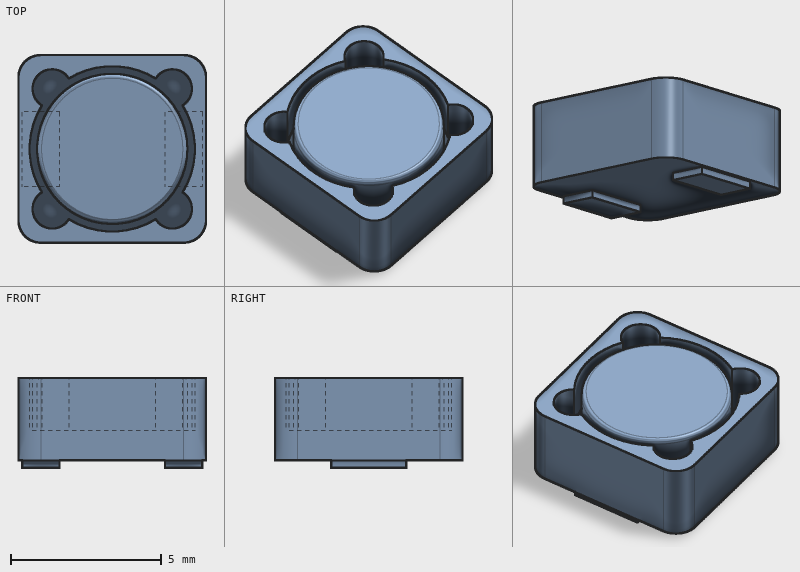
import cadquery as cq

body_side = 6.25
total_height = 3.0
corner_radius = 0.75

pad_length_x = 1.25
pad_width_y = 2.5
pad_height = 0.25
pad_edge_inset = 0.125

core_diameter = 5.0
core_edge_fillet = 0.15
ring_gap = 0.25
recess_diameter = core_diameter + 2 * ring_gap

relief_diameter = 1.3
relief_offset = 2.0

body_height = total_height - pad_height
recess_floor_thickness = 1.0
recess_floor_z = pad_height + recess_floor_thickness
recess_depth = total_height - recess_floor_z


def make_body():
    """Square shield with rounded vertical corners."""
    block = cq.Workplane("XY", origin=(0, 0, pad_height)).rect(body_side, body_side).extrude(body_height)
    return block.edges("|Z").fillet(corner_radius)


def make_recess():
    """Round recess merged with the four corner relief pockets."""
    floor = cq.Workplane("XY", origin=(0, 0, recess_floor_z))
    recess = floor.circle(recess_diameter / 2).extrude(recess_depth)
    reliefs = (
        floor.rect(2 * relief_offset, 2 * relief_offset, forConstruction=True)
        .vertices()
        .circle(relief_diameter / 2)
        .extrude(recess_depth)
    )
    return recess.union(reliefs)


def make_core():
    """Cylindrical core, flush with the shield, with a rounded top edge."""
    core = cq.Workplane("XY", origin=(0, 0, pad_height)).circle(core_diameter / 2).extrude(body_height)
    return core.faces(">Z").edges().fillet(core_edge_fillet)


def make_pads():
    """Two rectangular pads near the -X and +X sides."""
    pad_offset = body_side / 2 - pad_edge_inset - pad_length_x / 2
    return (
        cq.Workplane("XY")
        .pushPoints([(-pad_offset, 0), (pad_offset, 0)])
        .rect(pad_length_x, pad_width_y)
        .extrude(pad_height)
    )


result = make_body().cut(make_recess()).union(make_core()).union(make_pads())